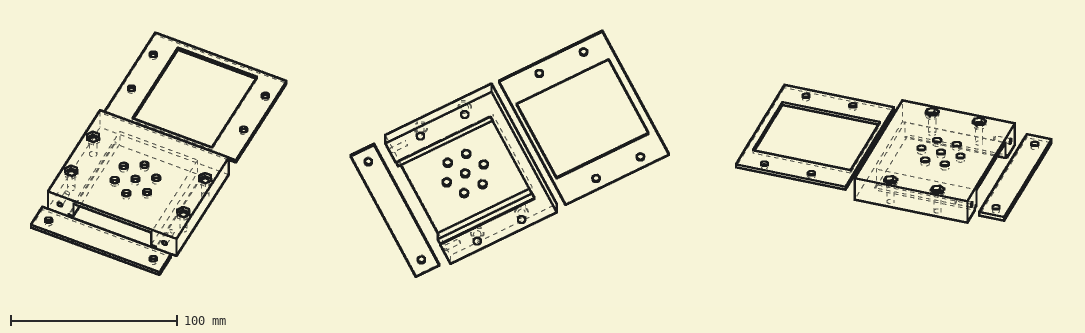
import cadquery as cq
import math

total_length = 171.2

housing_width = 86.1
housing_depth = 72.0
housing_height = 16.0
housing_front = 23.5
housing_back = housing_front + housing_depth
mid_x = housing_width / 2

chamber_width = 52.0
roof_thickness = 2.9
rear_wall = 7.9
ledge_width = 3.3
ledge_height = 1.5

vent_diameter = 5.0
vent_ring_radius = 12.5
vent_count = 6
vent_from_back = 39.9

screw_diameter = 4.5
screw_spacing_x = 75.0
screw_spacing_y = 30.0
nut_across_flats = 7.2
nut_depth = 2.9

pilot_diameter = 3.0
pilot_depth = 10.3
strip_hole_inset = 8.0
strip_hole_spacing = housing_width - 2 * strip_hole_inset

strip_thickness = 2.7
strip_bottom = 7.0

frame_width = 88.0
frame_depth = 70.0
frame_thickness = 2.2
frame_bottom = 6.0
window_width = 53.0
window_depth = 62.3
window_rear_rim = 4.8
frame_screws_from_back = 31.0


def block(x_size, y_size, z_size, x_min, y_min, z_min):
    """Box placed by its lowest corner."""
    return cq.Workplane("XY").box(x_size, y_size, z_size, centered=False).translate((x_min, y_min, z_min))


def screw_points(center_x, center_y):
    """Corners of the screw pattern around a centre."""
    return [
        (center_x + side_x * screw_spacing_x / 2, center_y + side_y * screw_spacing_y / 2)
        for side_x in (-1, 1)
        for side_y in (-1, 1)
    ]


def drill(points, diameter):
    """Vertical cylinders, tall enough to pass through any of the bodies."""
    return cq.Workplane("XY").pushPoints(points).circle(diameter / 2).extrude(housing_height)


def make_chamber():
    chamber_depth = housing_depth - rear_wall
    chamber = block(
        chamber_width, chamber_depth, housing_height - roof_thickness,
        mid_x - chamber_width / 2, housing_front, 0,
    )
    ledge_span = chamber_width + 2 * ledge_width
    ledge = block(
        ledge_span, chamber_depth, ledge_height,
        mid_x - ledge_span / 2, housing_front, 0,
    )
    return chamber.union(ledge)


def make_vents():
    center_y = housing_back - vent_from_back
    points = [(mid_x, center_y)]
    for index in range(vent_count):
        angle = math.pi / 2 + index * 2 * math.pi / vent_count
        points.append((mid_x + vent_ring_radius * math.cos(angle), center_y + vent_ring_radius * math.sin(angle)))
    return drill(points, vent_diameter)


def make_nut_pockets(points):
    across_corners = nut_across_flats / math.cos(math.pi / 6)
    return (
        cq.Workplane("XY", origin=(0, 0, housing_height - nut_depth))
        .pushPoints(points)
        .polygon(6, across_corners)
        .extrude(nut_depth)
    )


def make_pilot_holes():
    return (
        cq.Workplane("XZ", origin=(mid_x, housing_front, housing_height / 2))
        .rarray(strip_hole_spacing, 1.7, 2, 1)
        .circle(pilot_diameter / 2)
        .extrude(-pilot_depth)
    )


def make_housing():
    body = block(housing_width, housing_depth, housing_height, 0, housing_front, 0)
    screws = screw_points(mid_x, housing_front + housing_depth / 2)
    body = body.cut(make_chamber())
    body = body.cut(make_vents())
    body = body.cut(drill(screws, screw_diameter))
    body = body.cut(make_nut_pockets(screws))
    return body.cut(make_pilot_holes())


def make_frame():
    frame_front = total_length - frame_depth
    body = block(frame_width, frame_depth, frame_thickness, 0, frame_front, frame_bottom)
    window = block(
        window_width, window_depth, frame_thickness,
        (frame_width - window_width) / 2, total_length - window_rear_rim - window_depth, frame_bottom,
    )
    screws = screw_points(frame_width / 2, total_length - frame_screws_from_back)
    return body.cut(window).cut(drill(screws, screw_diameter))


def make_end_strip():
    strip_depth = housing_height
    body = block(housing_width, strip_depth, strip_thickness, 0, 0, strip_bottom)
    points = [(mid_x + side * strip_hole_spacing / 2, strip_depth / 2) for side in (-1, 1)]
    return body.cut(drill(points, screw_diameter))


housing = make_housing()
frame = make_frame()
end_strip = make_end_strip()

result = cq.Compound.makeCompound([housing.val(), frame.val(), end_strip.val()])